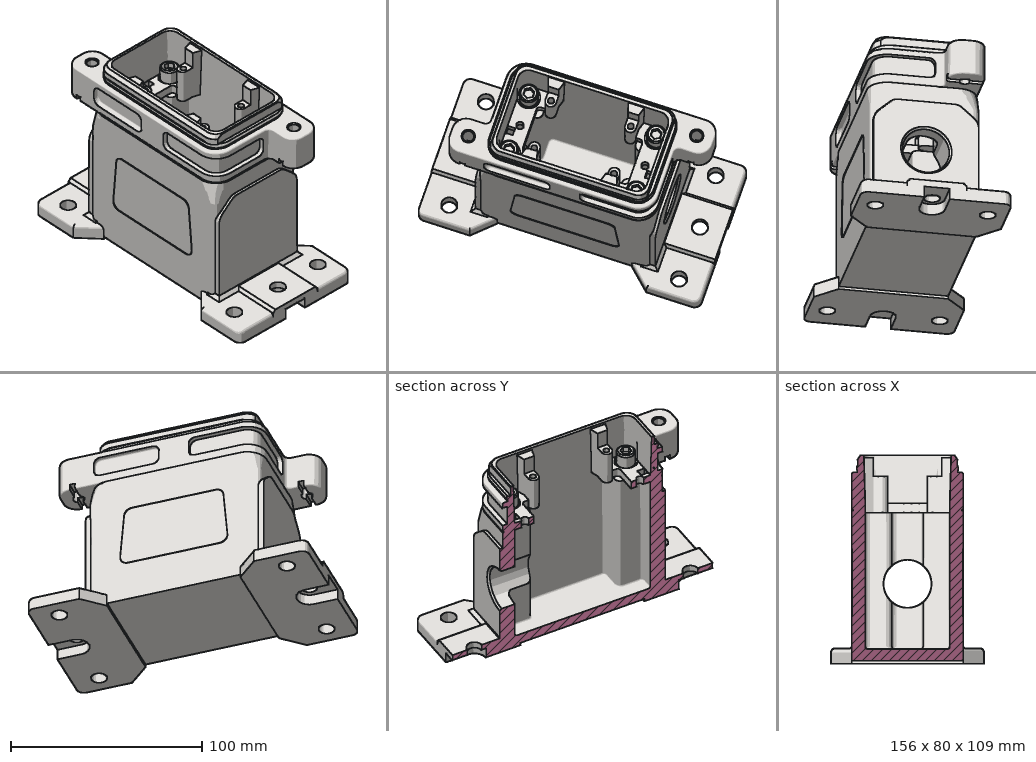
import cadquery as cq
import math

TOTAL_HEIGHT = 109.0
LENGTH_X = 156.0
WIDTH_Y = 80.0
SIDES = (-1, 1)
CORNERS = [(sx, sy) for sx in SIDES for sy in SIDES]

FOOT_INNER_X = 37.1
FOOT_SHOULDER_X = 48.7
FOOT_HEIGHT = 8.1
FOOT_EDGE_ROUND = 2.2
FOOT_CORNER_R = 4.0
PAD_HEIGHT = 9.8
PAD_TOP_WIDTH = 28.7
PAD_BASE_WIDTH = 31.8
MOUNT_HOLE_D = 8.5
MIDDLE_HOLE_X = 64.7
OUTER_HOLE_X = 63.3
OUTER_HOLE_Y = 30.0
NOTCH_WIDTH = 13.5
NOTCH_HEIGHT = 6.1

BODY_X = 95.8
BODY_Y = 58.3
BODY_BOTTOM = 1.5
BODY_CORNER_R = 4.4
BLEND_BOTTOM = 68.5
BLEND_MIDDLE = 75.5
BLEND_MIDDLE_R = 7.6
END_PLATE_X = 99.2
END_PLATE_Y = 55.8
END_PLATE_TOP = 69.9
END_PLATE_CUT_Y = 10.6
END_PLATE_CUT_Z = 9.4
END_PLATE_SIDE_R = 7.8
END_PLATE_TOP_R = 6.2
SKIRT = 2.0
SKIRT_INNER_X = 42.1
CABLE_HOLE_D = 25.0
CABLE_HOLE_CHAMFER = 1.1
CABLE_HOLE_Z = 41.8

LABEL_BOTTOM = 25.0
LABEL_TOP = 59.7
LABEL_BOTTOM_WIDTH = 60.5
LABEL_TOP_WIDTH = 54.6
LABEL_CORNER_R = 4.4
LABEL_DEPTH = 0.3

COLLAR_X = 96.1
COLLAR_Y = BODY_Y
COLLAR_BOTTOM = 80.2
COLLAR_TOP = 100.2
COLLAR_CORNER_R = 10.9
COLLAR_EDGE_ROUND = 1.1
EAR_END_X = 65.8
EAR_INNER_Y = 9.7
EAR_CORNER_R = 7.5
EAR_NECK_R = 3.1
EAR_HOLE_X = 56.5
EAR_HOLE_Y = 19.2
EAR_HOLE_D = 6.0
EAR_HOLE_CHAMFER = 0.6
EAR_SLOT = 3.0

POCKET_BOTTOM = 85.0
POCKET_TOP = 96.4
POCKET_DEPTH = 2.8
POCKET_CORNER_R = 3.6
POCKET_ROUND = 1.1
POCKET_INNER_X = 8.3
POCKET_OUTER_X = 44.5
POCKET_END_Y = 5.3

NECK_X = 89.9
NECK_Y = 52.7
BEAD_X = 91.4
BEAD_Y = 53.5
BEAD_BOTTOM = 100.8
BEAD_TOP = 103.5
BEAD_CORNER_R = 9.4
BEAD_ROUND = 1.2
RIM_X = 88.9
RIM_Y = 52.4
RIM_CUT_X = 86.5
RIM_CORNER_R = 7.3
RIM_CHAMFER_IN = 1.5
RIM_CHAMFER_DOWN = 2.3

CAVITY_X = 81.1
CAVITY_Y = 44.0
CAVITY_CORNER_R = 5.0
CAVITY_DRAFT = 1.7
SHELF_TOP = 83.8
SHELF_BOTTOM = 79.0
CAVITY_FLOOR = 7.8
CAVITY_FLOOR_R = 1.2
OPENING_X = 58.3
OPENING_Y = 25.9
OPENING_CORNER_R = 1.9
COLUMN_INNER_X = 25.6
COLUMN_INNER_Y = 8.1
COLUMN_CORNER_R = 3.1
COLUMN_FILLET = 2.5

SCREW_X = 35.1
SCREW_Y = 16.2
SCREW_HEAD_D = 10.0
SCREW_FACE_D = 8.5
SCREW_TOP = 91.0
SCREW_SEAT_D = 12.0
SCREW_SEAT_Z = 83.0
SOCKET_D = 6.0
SOCKET_DEPTH = 3.1
SHELF_HOLE_X = 34.5
SHELF_HOLE_D = 4.0
KEY_HOLE_X = 38.4
KEY_HOLE_Y = 4.2
KEY_HOLE_SIZE = 4.0

POST_X = 22.0
POST_WIDTH = 6.0
POST_ROUND_Y = 13.3
POST_TOP = 98.0
POST_HOLE_D = 3.3
POST_HOLE_Y = 13.7
POST_HOLE_DEPTH = 9.4
RIB_INNER_Y = 17.8
RIB_OUTER_Y = 23.2
RIB_ROOT_WIDTH = 9.4
RIB_TOP = 107.6


def box(x0, x1, y0, y1, z0, z1):
    """Axis-aligned box between the given limits."""
    return cq.Workplane(cq.Solid.makeBox(x1 - x0, y1 - y0, z1 - z0, cq.Vector(x0, y0, z0)))


def rod(diameter, x, y, z0, z1):
    """Vertical cylinder."""
    return cq.Workplane(cq.Solid.makeCylinder(diameter / 2, z1 - z0, cq.Vector(x, y, z0)))


def rounded_block(size_x, size_y, corner_r, z0, z1):
    """Centred block with rounded vertical edges."""
    half_x, half_y = size_x / 2, size_y / 2
    return box(-half_x, half_x, -half_y, half_y, z0, z1).edges("|Z").fillet(corner_r)


def half_turn(shape):
    """Copy of a shape turned 180 degrees about the Z axis."""
    return shape.rotate((0, 0, 0), (0, 0, 1), 180)


def make_foot():
    """Foot on the +X side, with pad, holes and open notch."""
    end_x, end_y = LENGTH_X / 2, WIDTH_Y / 2
    outline = [
        (FOOT_INNER_X, -BODY_Y / 2), (FOOT_SHOULDER_X, -end_y), (end_x, -end_y),
        (end_x, end_y), (FOOT_SHOULDER_X, end_y), (FOOT_INNER_X, BODY_Y / 2),
    ]
    foot = cq.Workplane().polyline(outline).close().extrude(FOOT_HEIGHT)
    foot = foot.edges("|Z and >X").fillet(FOOT_CORNER_R)
    foot = foot.faces(">Z").edges("not <X").fillet(FOOT_EDGE_ROUND)

    half_top, half_base = PAD_TOP_WIDTH / 2, PAD_BASE_WIDTH / 2
    pad = (
        cq.Workplane("YZ", origin=(FOOT_INNER_X, 0, 0))
        .polyline([
            (-half_base, 0), (half_base, 0), (half_base, FOOT_HEIGHT), (half_top, PAD_HEIGHT),
            (-half_top, PAD_HEIGHT), (-half_base, FOOT_HEIGHT),
        ])
        .close().extrude(end_x - FOOT_INNER_X)
    )
    foot = foot.union(pad)

    holes = [(MIDDLE_HOLE_X, 0), (OUTER_HOLE_X, OUTER_HOLE_Y), (OUTER_HOLE_X, -OUTER_HOLE_Y)]
    for x, y in holes:
        foot = foot.cut(rod(MOUNT_HOLE_D, x, y, 0, PAD_HEIGHT))
    half_notch = NOTCH_WIDTH / 2
    foot = foot.cut(box(MIDDLE_HOLE_X, end_x, -half_notch, half_notch, 0, NOTCH_HEIGHT))
    return foot.cut(rod(NOTCH_WIDTH, MIDDLE_HOLE_X, 0, 0, NOTCH_HEIGHT))


def make_skirt():
    """Sloped skirt around the foot of the end plates, on top of both feet."""
    skirt = (
        cq.Workplane(origin=(0, 0, FOOT_HEIGHT))
        .rect(END_PLATE_X + 2 * SKIRT, END_PLATE_Y + 2 * SKIRT).extrude(SKIRT, taper=45)
    )
    gap = box(-SKIRT_INNER_X, SKIRT_INNER_X, -WIDTH_Y, WIDTH_Y, 0, COLLAR_BOTTOM)
    return skirt.cut(gap)


def make_body():
    """Housing block with growing corner radii and a flat plate at each end."""
    body = rounded_block(BODY_X, BODY_Y, BODY_CORNER_R, BODY_BOTTOM, BLEND_BOTTOM)
    levels = [
        (BLEND_BOTTOM, BODY_CORNER_R), (BLEND_MIDDLE, BLEND_MIDDLE_R), (COLLAR_BOTTOM, COLLAR_CORNER_R),
    ]
    sections = [
        cq.Sketch().rect(BODY_X, BODY_Y).vertices().fillet(radius).moved(cq.Location(cq.Vector(0, 0, z)))
        for z, radius in levels
    ]
    blend = cq.Workplane().placeSketch(*sections).loft()

    half_y = END_PLATE_Y / 2
    shoulder_y = half_y - END_PLATE_CUT_Y
    shoulder_z = END_PLATE_TOP - END_PLATE_CUT_Z
    plate = (
        cq.Workplane("YZ", origin=(-END_PLATE_X / 2, 0, 0))
        .polyline([
            (-half_y, BODY_BOTTOM), (half_y, BODY_BOTTOM), (half_y, shoulder_z), (shoulder_y, END_PLATE_TOP),
            (-shoulder_y, END_PLATE_TOP), (-half_y, shoulder_z),
        ])
        .close().extrude(END_PLATE_X)
    )
    plate = plate.edges("|X and >Z").fillet(END_PLATE_TOP_R)
    plate = plate.edges(
        cq.selectors.BoxSelector((-LENGTH_X, -WIDTH_Y, shoulder_z - 1.5), (LENGTH_X, WIDTH_Y, shoulder_z + 1.5))
    ).edges("|X").edges(">Y or <Y").fillet(END_PLATE_SIDE_R)
    return body.union(blend).union(plate)


def make_label():
    """Shallow trapezoidal recesses for a label on both long sides."""
    half_bottom, half_top = LABEL_BOTTOM_WIDTH / 2, LABEL_TOP_WIDTH / 2
    label = (
        cq.Workplane("XZ", origin=(0, -BODY_Y / 2, 0))
        .polyline([
            (-half_bottom, LABEL_BOTTOM), (half_bottom, LABEL_BOTTOM),
            (half_top, LABEL_TOP), (-half_top, LABEL_TOP),
        ])
        .close().extrude(-LABEL_DEPTH).edges("|Y").fillet(LABEL_CORNER_R)
    )
    return label.union(half_turn(label))


def collar_blank():
    """Collar block with a rounded ear at the -X -Y and +X +Y corners."""
    ear = box(-EAR_END_X, -FOOT_INNER_X, -COLLAR_Y / 2, -EAR_INNER_Y, COLLAR_BOTTOM, COLLAR_TOP)
    ear = ear.edges("|Z and <X").fillet(EAR_CORNER_R)
    blank = rounded_block(COLLAR_X, COLLAR_Y, COLLAR_CORNER_R, COLLAR_BOTTOM, COLLAR_TOP)
    blank = blank.union(ear).union(half_turn(ear))
    mid_z = (COLLAR_BOTTOM + COLLAR_TOP) / 2
    for side in SIDES:
        inner_corner = (side * COLLAR_X / 2, side * EAR_INNER_Y, mid_z)
        blank = blank.edges("|Z").edges(cq.selectors.NearestToPointSelector(inner_corner)).fillet(EAR_NECK_R)
    return blank.faces(">Z or <Z").edges().fillet(COLLAR_EDGE_ROUND)


def make_pockets():
    """Cutters for one plain pocket and one pocket that wraps round the -Y +X corner."""
    half_x, half_y = COLLAR_X / 2, COLLAR_Y / 2
    floor_y = half_y - POCKET_DEPTH
    plain = box(-POCKET_OUTER_X, -POCKET_INNER_X, -half_y, -floor_y, POCKET_BOTTOM, POCKET_TOP)
    plain = plain.edges("|Y").fillet(POCKET_CORNER_R).faces(">Y").edges().fillet(POCKET_ROUND)

    front = box(POCKET_INNER_X, EAR_END_X, -half_y, 0, POCKET_BOTTOM, POCKET_TOP)
    front = front.edges("|Y and <X").fillet(POCKET_CORNER_R)
    end = box(0, half_x, -half_y, POCKET_END_Y, POCKET_BOTTOM, POCKET_TOP)
    end = end.edges("|X and >Y").fillet(POCKET_CORNER_R)
    core_x, core_y = COLLAR_X - 2 * POCKET_DEPTH, COLLAR_Y - 2 * POCKET_DEPTH
    core = rounded_block(core_x, core_y, COLLAR_CORNER_R - POCKET_DEPTH, COLLAR_BOTTOM, COLLAR_TOP)
    front = front.intersect(box(0, EAR_END_X, -half_y, POCKET_END_Y - COLLAR_CORNER_R * 2, 0, TOTAL_HEIGHT))
    end = end.intersect(box(half_x - COLLAR_CORNER_R, half_x, -half_y, half_y, 0, TOTAL_HEIGHT))
    hull = rounded_block(COLLAR_X, COLLAR_Y, COLLAR_CORNER_R, COLLAR_BOTTOM, COLLAR_TOP)
    wrapped = front.union(end).intersect(hull).cut(core)
    return plain, wrapped


def make_collar():
    """Collar with grip pockets, ear holes and slots under the ears."""
    collar = collar_blank()
    for pocket in make_pockets():
        collar = collar.cut(pocket).cut(half_turn(pocket))
    mid_slot = EAR_SLOT / 2
    for side in SIDES:
        x, y = side * EAR_HOLE_X, side * EAR_HOLE_Y
        collar = collar.cut(rod(EAR_HOLE_D, x, y, COLLAR_BOTTOM, COLLAR_TOP))
        collar = collar.cut(box(x - mid_slot, x + mid_slot, -COLLAR_Y, COLLAR_Y,
                                COLLAR_BOTTOM, COLLAR_BOTTOM + EAR_SLOT))
        sink = cq.Solid.makeCone(EAR_HOLE_D / 2, EAR_HOLE_D / 2 + EAR_HOLE_CHAMFER, EAR_HOLE_CHAMFER,
                                 cq.Vector(x, y, COLLAR_TOP - EAR_HOLE_CHAMFER))
        collar = collar.cut(cq.Workplane(sink))
    return collar


def make_rim():
    """Neck, rounded sealing bead and chamfered rim with flat ends."""
    neck = rounded_block(NECK_X, NECK_Y, BEAD_CORNER_R, COLLAR_TOP, BEAD_TOP)
    bead = rounded_block(BEAD_X, BEAD_Y, BEAD_CORNER_R, BEAD_BOTTOM, BEAD_TOP)
    bead = bead.faces(">Z or <Z").edges().fillet(BEAD_ROUND)
    rim = rounded_block(RIM_X, RIM_Y, RIM_CORNER_R, COLLAR_TOP, TOTAL_HEIGHT)
    rim = rim.faces(">Z").edges().chamfer(RIM_CHAMFER_DOWN, RIM_CHAMFER_IN)
    rim = rim.intersect(box(-RIM_CUT_X / 2, RIM_CUT_X / 2, -RIM_Y, RIM_Y, 0, TOTAL_HEIGHT))
    return neck.union(bead).union(rim)


def make_cavity():
    """Upper drafted cavity, opening between the shelves and the lower chamber."""
    upper = (
        cq.Workplane(origin=(0, 0, SHELF_TOP))
        .sketch().rect(CAVITY_X, CAVITY_Y).vertices().fillet(CAVITY_CORNER_R).finalize()
        .extrude(TOTAL_HEIGHT - SHELF_TOP, taper=-CAVITY_DRAFT)
    )
    opening = rounded_block(OPENING_X, OPENING_Y, OPENING_CORNER_R, SHELF_BOTTOM, SHELF_TOP)
    post_side_x = POST_X + POST_WIDTH / 2
    half_y = CAVITY_Y / 2
    opening = opening.union(box(-post_side_x, post_side_x, -half_y, half_y, SHELF_BOTTOM, SHELF_TOP))

    half_x = CAVITY_X / 2
    chamber = box(-half_x, half_x, -COLUMN_INNER_Y, COLUMN_INNER_Y, CAVITY_FLOOR, SHELF_BOTTOM)
    chamber = chamber.edges("|Z").fillet(COLUMN_FILLET)
    middle = box(-COLUMN_INNER_X, COLUMN_INNER_X, -half_y, half_y, CAVITY_FLOOR, SHELF_BOTTOM)
    middle = middle.edges("|Z").fillet(COLUMN_FILLET)
    chamber = chamber.union(middle)
    for sx, sy in CORNERS:
        corner = (sx * COLUMN_INNER_X, sy * COLUMN_INNER_Y, SHELF_BOTTOM / 2)
        chamber = chamber.edges("|Z").edges(cq.selectors.NearestToPointSelector(corner)).fillet(COLUMN_CORNER_R)
    chamber = chamber.faces("<Z").edges().fillet(CAVITY_FLOOR_R)
    cavity = upper.union(opening).union(chamber)

    for sx, sy in CORNERS:
        cavity = cavity.union(rod(SCREW_SEAT_D, sx * SCREW_X, sy * SCREW_Y, SCREW_SEAT_Z, TOTAL_HEIGHT))
    half_key = KEY_HOLE_SIZE / 2
    for side in SIDES:
        cavity = cavity.union(rod(SHELF_HOLE_D, side * SHELF_HOLE_X, 0, SHELF_BOTTOM, SHELF_TOP))
        key_x = side * KEY_HOLE_X
        cavity = cavity.union(box(key_x - half_key, key_x + half_key, KEY_HOLE_Y - half_key,
                                  KEY_HOLE_Y + half_key, SHELF_BOTTOM, SHELF_TOP))
    return cavity


def make_cable_hole():
    """Cable entry through the -X end wall, with a chamfered mouth."""
    face_x = END_PLATE_X / 2
    along_x = cq.Vector(1, 0, 0)
    mouth = cq.Vector(-face_x, 0, CABLE_HOLE_Z)
    radius = CABLE_HOLE_D / 2
    hole = cq.Solid.makeCylinder(radius, face_x - COLUMN_INNER_X, mouth, along_x)
    chamfer = cq.Solid.makeCone(radius + CABLE_HOLE_CHAMFER, radius, CABLE_HOLE_CHAMFER, mouth, along_x)
    return cq.Workplane(hole).union(cq.Workplane(chamfer))


def make_screw():
    """Cap screw head on the Z axis with a hexagon socket."""
    bevel = (SCREW_HEAD_D - SCREW_FACE_D) / 2
    head = rod(SCREW_HEAD_D, 0, 0, SCREW_SEAT_Z, SCREW_TOP).faces(">Z").edges().chamfer(bevel)
    socket = (
        cq.Workplane(origin=(0, 0, SCREW_TOP)).transformed(rotate=(0, 0, 90))
        .polygon(6, SOCKET_D).extrude(-SOCKET_DEPTH)
    )
    return head.cut(socket)


def make_post():
    """Contact post at +X +Y: a tall tapered rib on the wall with a lower drilled tower."""
    half = POST_WIDTH / 2
    half_root = RIB_ROOT_WIDTH / 2
    rib = (
        cq.Workplane(origin=(POST_X, 0, SHELF_BOTTOM))
        .polyline([(-half, RIB_INNER_Y), (half, RIB_INNER_Y), (half_root, RIB_OUTER_Y), (-half_root, RIB_OUTER_Y)])
        .close().extrude(RIB_TOP - SHELF_BOTTOM)
    )
    tower = box(POST_X - half, POST_X + half, POST_ROUND_Y, RIB_INNER_Y, SHELF_BOTTOM, POST_TOP)
    tower = tower.union(rod(POST_WIDTH, POST_X, POST_ROUND_Y, SHELF_BOTTOM, POST_TOP))
    hole = rod(POST_HOLE_D, POST_X, POST_HOLE_Y, POST_TOP - POST_HOLE_DEPTH, POST_TOP)
    return rib.union(tower).cut(hole)


foot = make_foot()
housing = make_body().union(foot).union(half_turn(foot)).union(make_skirt())
housing = housing.cut(make_label()).union(make_collar()).union(make_rim())
housing = housing.cut(make_cavity()).cut(make_cable_hole())

screw = make_screw()
for sx, sy in CORNERS:
    housing = housing.union(screw.translate((sx * SCREW_X, sy * SCREW_Y, 0)))

post = make_post()
for mirrored in (post, post.mirror("YZ")):
    housing = housing.union(mirrored).union(mirrored.mirror("XZ"))

result = housing